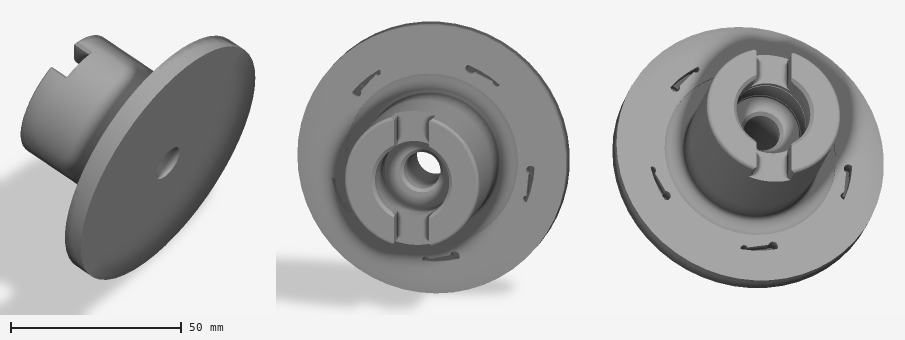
import cadquery as cq
import math

flange_radius = 40.0
flange_thickness = 6.0
total_length = 40.0
flange_face = total_length - flange_thickness

recess_radius = 25.6
recess_depth = 0.5
recess_floor = flange_face + recess_depth

hub_radius = 20.0
edge_size = 1.0
slot_width = 10.4
slot_depth = 6.2
inner_chamfer_on_wall = 0.4

bore_radius = 11.0
bore_depth = 16.8
bore_chamfer = 1.0
groove_depth = 0.2
groove_width = 0.6
groove_starts = (7.5, 15.1)
hole_radius = 5.4
hole_chamfer = 1.0

pocket_count = 5
pocket_outer_radius = 30.6
large_round_radius = 1.4
large_round_center = 29.5
large_round_angle = 22.6
small_round_radius = 1.1
small_round_center = 30.2
small_round_angle = 39.3
wedge_large_end = 28.9
wedge_small_end = 30.0
round_depth = 4.8
wedge_depth = 3.2


def cylinder(start, length, radius):
    """Cylinder along +X beginning at x = start."""
    return cq.Workplane("YZ").workplane(offset=start).circle(radius).extrude(length)


def countersink(start, radius, size):
    """45 degree cone that opens toward -X at x = start and narrows to the given radius."""
    return cq.Workplane(
        cq.Solid.makeCone(radius + size, radius, size, cq.Vector(start, 0, 0), cq.Vector(1, 0, 0))
    )


def polar(radius, angle):
    """Point in the YZ plane, with the angle measured from +Z toward -Y."""
    turn = math.radians(angle)
    return -radius * math.sin(turn), radius * math.cos(turn)


def slot_corner(radius, side_y, side_z):
    """Selects the edge where a slot wall meets the cylinder of the given radius."""
    y = slot_width / 2
    z = math.sqrt(radius**2 - y**2)
    return cq.selectors.NearestToPointSelector((slot_depth / 2, side_y * y, side_z * z))


def make_hub():
    hub = cylinder(0, recess_floor, hub_radius)
    hub = hub.cut(cylinder(0, bore_depth, bore_radius))
    hub = hub.cut(cq.Workplane("XY").box(2 * slot_depth, slot_width, 4 * hub_radius))

    for side_y in (1, -1):
        for side_z in (1, -1):
            outer_edge = slot_corner(hub_radius, side_y, side_z)
            hub = hub.edges(outer_edge).chamfer(edge_size)
            inner_edge = slot_corner(bore_radius, side_y, side_z)
            hub = hub.edges(inner_edge).chamfer(inner_chamfer_on_wall, edge_size)

    rounded_blank = cylinder(0, recess_floor, hub_radius).faces("<X").edges().fillet(edge_size)
    return hub.intersect(rounded_blank)


def make_pocket(turn):
    large_angle = large_round_angle + turn
    small_angle = small_round_angle + turn
    plane = cq.Workplane("YZ").workplane(offset=flange_face)
    large = plane.moveTo(*polar(large_round_center, large_angle)).circle(large_round_radius)
    pocket = large.extrude(round_depth)
    small = plane.moveTo(*polar(small_round_center, small_angle)).circle(small_round_radius)
    pocket = pocket.union(small.extrude(round_depth))
    wedge_corners = [
        polar(wedge_large_end, large_angle),
        polar(wedge_small_end, small_angle),
        polar(flange_radius, small_angle),
        polar(flange_radius, large_angle),
    ]
    pocket = pocket.union(plane.polyline(wedge_corners).close().extrude(wedge_depth))

    return pocket.intersect(cylinder(flange_face, flange_thickness, pocket_outer_radius))


def make_flange():
    flange = cylinder(flange_face, flange_thickness, flange_radius)
    flange = flange.cut(cylinder(flange_face, recess_depth, recess_radius))
    for index in range(pocket_count):
        flange = flange.cut(make_pocket(index * 360 / pocket_count))
    return flange


def fillet_hub_base(body):
    """Blend the hub into the recess floor, where the two meet in a circle."""
    margin = 0.1
    reach = hub_radius + margin
    base_edge = cq.selectors.BoxSelector(
        (recess_floor - margin, -reach, -reach), (recess_floor + margin, reach, reach), boundingbox=True
    )
    return body.edges(base_edge).edges(cq.selectors.RadiusNthSelector(-1)).fillet(edge_size)


def cut_bore(body):
    body = body.cut(cylinder(0, bore_depth, bore_radius))
    body = body.cut(countersink(0, bore_radius, bore_chamfer))
    for start in groove_starts:
        body = body.cut(cylinder(start, groove_width, bore_radius + groove_depth))
    body = body.cut(cylinder(0, total_length, hole_radius))
    return body.cut(countersink(bore_depth, hole_radius, hole_chamfer))


result = cut_bore(fillet_hub_base(make_flange().union(make_hub())))